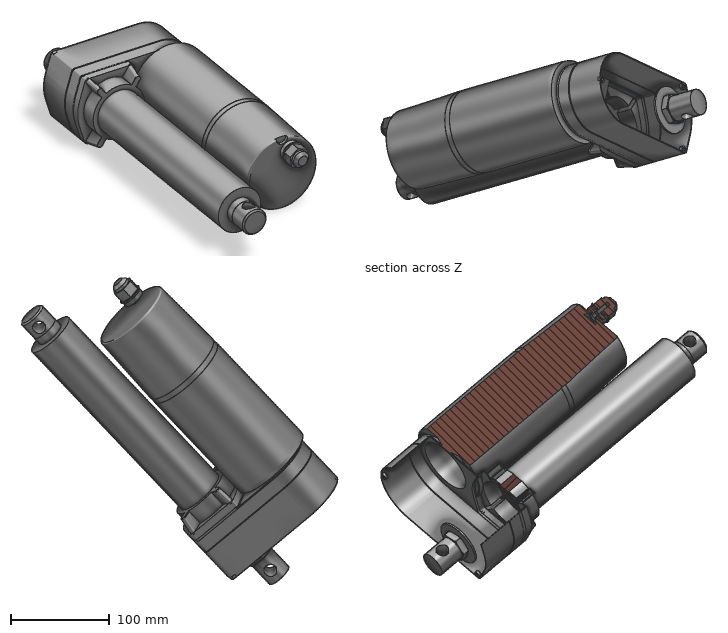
import cadquery as cq
import math


motor_y = 75.0
nut_start = 28.4
washer_start = 35.8
cover_start = 38.2
mount_end = 37.7
seam_x = 78.2
case_end = 93.8
pad_end = 94.9
flange_end = 102.9
boss_end = 120.8
tube_end = 348.6
collar_end = 357.3
rod_end = 378.0

housing_half_height = 38.2
nose_tip_y = -38.1
nose_radius = 52.7
nose_half_height = 15.4
corner_radius = 4.5
wall = 1.0
floor_thickness = 1.5
seam_chamfer = 0.4
motor_bore_radius = 29.4
lug_radius = 3.4
lug_hole_radius = 1.6
lug_length = 3.0
corner_lug_y = -25.0
corner_lug_z = 34.3

flange_wall = 1.5
boss_radius = 30.9
arm_angle = 54.5
arm_width = 6.4
arm_reach_base = 46.3
arm_reach_tip = 41.8

tube_radius = 25.4
mount_radius = 13.3
collar_radius = 14.4
rod_radius = 14.2
rod_chamfer = 1.8
pin_hole_radius = 6.5
rear_pin_x = 13.4
front_pin_x = 365.8
nut_corner_radius = 16.4
nut_turn = 43.0
nut_chamfer = 1.4
washer_radius = 24.6

motor_radius = 43.5
neck_radius = 31.0
neck_flare_radius = 34.0
can_start = 96.6
rim_length = 3.7
rim_drop = 0.4
band_start = 227.0
band_end = 233.0
band_drop = 0.3
cap_end = 310.9
cap_end_radius = 41.2
cap_thickness = 5.5
cap_round = 2.0
notch_radius = 6.5
notch_length = 3.5
notch_z = 41.0

gland_y = motor_y + 7.4
gland_z = 26.2
gland_neck_radius = 5.5
gland_ring_radius = 11.2
gland_ring_start = 313.3
gland_ring_end = 318.1
gland_hex_start = 320.0
gland_washer_radius = 12.4
gland_washer_thickness = 0.7
gland_hex_end = 332.0
gland_hex_radius = 12.0
gland_hex_turn = 38.0
gland_nose_radius = 9.0
gland_nose_straight = 3.0
gland_tip_radius = 5.5
gland_end = 338.6
gland_recess_radius = 9.3
gland_bore_radius = 4.5


def section(x, y=0.0, z=0.0):
    """Workplane across the X axis, its local axes along Y and Z, centred on (y, z)."""
    return cq.Workplane("YZ", origin=(x, y, z))


def rod(x0, x1, radius, y=0.0, z=0.0):
    return section(x0, y, z).circle(radius).extrude(x1 - x0)


def cone(x0, x1, r0, r1, y=0.0, z=0.0):
    return section(x0, y, z).circle(r0).workplane(offset=x1 - x0).circle(r1).loft(ruled=True)


def hexagon(x0, x1, corner_r, turn, y=0.0, z=0.0):
    plane = section(x0, y, z).transformed(rotate=(0, 0, turn))
    return plane.polygon(6, 2 * corner_r).extrude(x1 - x0)


flank_angle = math.asin(nose_half_height / nose_radius)
nose_end_y = nose_tip_y + nose_radius * (1 - math.cos(flank_angle))
corner_y = nose_end_y + math.tan(flank_angle) * (housing_half_height - nose_half_height)
corner_half_turn = (math.pi / 2 - flank_angle) / 2
corner_centre_y = corner_y + corner_radius * math.tan(corner_half_turn)
corner_centre_z = housing_half_height - corner_radius


def corner_point(angle):
    """Point on the upper rounded corner, the angle taken from the top towards -Y."""
    y = corner_centre_y - corner_radius * math.sin(angle)
    z = corner_centre_z + corner_radius * math.cos(angle)
    return y, z


def add_nose(outline, turn=1):
    """Continue an outline round the nose: top to bottom at -Y, or bottom to top at +Y for turn -1."""
    corner_start = corner_point(0)
    corner_middle = corner_point(corner_half_turn)
    corner_end = corner_point(2 * corner_half_turn)
    nose_end = (nose_end_y, nose_half_height)

    def upper(point):
        return turn * point[0], turn * point[1]

    def lower(point):
        return turn * point[0], -turn * point[1]

    return (
        outline.lineTo(*upper(corner_start))
        .threePointArc(upper(corner_middle), upper(corner_end))
        .lineTo(*upper(nose_end))
        .threePointArc((turn * nose_tip_y, 0), lower(nose_end))
        .lineTo(*lower(corner_end))
        .threePointArc(lower(corner_middle), lower(corner_start))
    )


def prism(outline, length, inset):
    if inset:
        outline = outline.offset2D(-inset)
    return outline.extrude(length)


def housing_prism(x0, x1, inset=0.0):
    """Round end about the motor axis, shallow nose beyond the screw axis."""
    outline = add_nose(section(x0).moveTo(motor_y, housing_half_height))
    outline = outline.lineTo(motor_y, -housing_half_height)
    round_end = (motor_y + housing_half_height, 0)
    outline = outline.threePointArc(round_end, (motor_y, housing_half_height)).close()
    return prism(outline, x1 - x0, inset)


def flange_prism(x0, x1, inset=0.0):
    """The nose shape on both sides of the screw axis."""
    outline = add_nose(section(x0).moveTo(0, housing_half_height))
    outline = add_nose(outline.lineTo(0, -housing_half_height), turn=-1).close()
    return prism(outline, x1 - x0, inset)


def drill_pin_hole(body, x):
    """Cross hole along Z through a round rod end."""
    hole = cq.Workplane("XY", origin=(x, 0, 0)).circle(pin_hole_radius)
    return body.cut(hole.extrude(collar_radius, both=True))


def clear_of_motor(solid, gap=0.0):
    return solid.cut(rod(can_start, boss_end, motor_radius + gap, motor_y))


def make_cover():
    shell = housing_prism(cover_start, seam_x).faces(">X").edges().chamfer(seam_chamfer)
    shell = shell.cut(housing_prism(cover_start, seam_x, wall))
    end_lug_y = motor_y + housing_half_height - lug_radius - wall / 2
    lug_places = [(end_lug_y, 0), (corner_lug_y, corner_lug_z), (corner_lug_y, -corner_lug_z)]
    for y, z in lug_places:
        shell = shell.union(rod(cover_start, cover_start + lug_length, lug_radius, y, z))
    for y, z in lug_places:
        shell = shell.cut(rod(cover_start, cover_start + lug_length, lug_hole_radius, y, z))
    return shell


def make_gear_case():
    case = housing_prism(seam_x, case_end).faces("<X").edges().chamfer(seam_chamfer)
    case = case.union(flange_prism(case_end, pad_end))
    floor_start = case_end - floor_thickness
    case = case.cut(housing_prism(seam_x, floor_start, wall))
    case = case.cut(rod(floor_start, case_end, motor_bore_radius, motor_y))
    return case.cut(flange_prism(floor_start, pad_end, flange_wall))


def boss_arm(angle, x_start, x_end, inset=0.0):
    """Radial arm whose rounded tip leans towards the axis along X."""
    width = arm_width - 2 * inset
    root = boss_radius / 2
    base = arm_reach_base - inset
    tip = arm_reach_tip - inset
    return (
        section(x_start)
        .transformed(rotate=(0, 0, angle))
        .center((root + base) / 2, 0)
        .slot2D(base - root, width)
        .workplane(offset=x_end - x_start)
        .center((tip - base) / 2, 0)
        .slot2D(tip - root, width)
        .loft(ruled=True)
    )


def make_thrust_tube():
    arm_angles = [arm_angle, 180 - arm_angle, 180 + arm_angle, -arm_angle]
    cavity_floor = flange_end - flange_wall
    cavity_end = boss_end - flange_wall

    body = clear_of_motor(flange_prism(pad_end, flange_end))
    body = body.union(rod(pad_end, boss_end, boss_radius))
    for angle in arm_angles:
        body = body.union(boss_arm(angle, cavity_floor, boss_end))

    cavity = flange_prism(pad_end, cavity_floor, flange_wall)
    cavity = clear_of_motor(cavity, flange_wall).union(rod(pad_end, cavity_end, boss_radius - flange_wall))
    for angle in arm_angles:
        cavity = cavity.union(boss_arm(angle, pad_end, cavity_end, wall))
    body = body.cut(cavity)

    body = body.union(rod(cavity_end, tube_end, tube_radius))
    body = body.union(rod(tube_end, collar_end, collar_radius))
    body = body.union(rod(collar_end, rod_end, rod_radius).faces(">X").chamfer(rod_chamfer))
    return drill_pin_hole(body, front_pin_x)


def make_rear_mount():
    mount = rod(0, mount_end, mount_radius)
    nut_blank = rod(nut_start, washer_start, nut_corner_radius).edges().chamfer(nut_chamfer / 2, nut_chamfer)
    mount = mount.union(hexagon(nut_start, washer_start, nut_corner_radius, nut_turn).intersect(nut_blank))
    mount = mount.union(rod(washer_start, mount_end, washer_radius))
    return drill_pin_hole(mount, rear_pin_x)


def make_motor():
    gland_place = (gland_y, gland_z)
    gland_washer_end = gland_hex_start + gland_washer_thickness
    gland_cone_start = gland_hex_end + gland_nose_straight

    can = cone(case_end, can_start, neck_radius, neck_flare_radius, motor_y)
    can = can.union(cone(can_start, can_start + rim_length, motor_radius - rim_drop, motor_radius, motor_y))
    can = can.union(rod(can_start + rim_length, band_start, motor_radius, motor_y))
    can = can.union(rod(band_start, band_end, motor_radius - band_drop, motor_y))
    cap = cone(band_end, cap_end, motor_radius, cap_end_radius, motor_y).faces(">X").edges().fillet(cap_round)
    cap = cap.cut(rod(cap_end - notch_length, cap_end, notch_radius, motor_y, notch_z))
    can = can.union(cap)

    can = can.union(rod(cap_end - cap_thickness / 2, gland_hex_start, gland_neck_radius, *gland_place))
    can = can.union(rod(gland_ring_start, gland_ring_end, gland_ring_radius, *gland_place))
    can = can.union(rod(gland_hex_start, gland_washer_end, gland_washer_radius, *gland_place))
    can = can.union(hexagon(gland_washer_end, gland_hex_end, gland_hex_radius, gland_hex_turn, *gland_place))
    can = can.union(rod(gland_hex_end, gland_cone_start, gland_nose_radius, *gland_place))
    can = can.union(cone(gland_cone_start, gland_end, gland_nose_radius, gland_tip_radius, *gland_place))

    inner_end = cap_end - cap_thickness
    can = can.cut(rod(case_end, inner_end, motor_bore_radius, motor_y))
    can = can.cut(cone(inner_end, cap_end, gland_recess_radius, gland_bore_radius, *gland_place))
    return can.cut(rod(cap_end, gland_hex_end, gland_bore_radius, *gland_place))


cover = make_cover()
gear_motor = make_gear_case().union(make_motor())
thrust_tube = make_thrust_tube()
rear_mount = make_rear_mount()

result = cq.Compound.makeCompound([cover.val(), gear_motor.val(), thrust_tube.val(), rear_mount.val()])